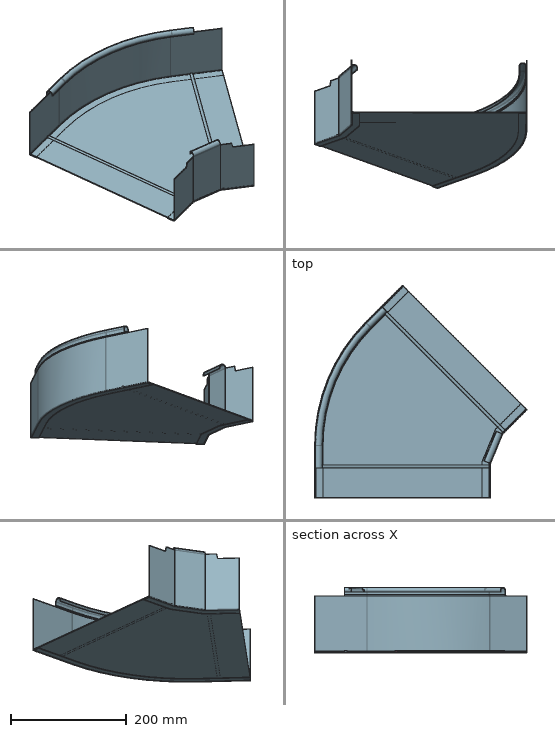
import cadquery as cq
import math


overall = 366.2
height = 113.0
bend_angle = 45.0
leg_length = 90.0
inner_leg_length = 59.0
sheet = 1.25
floor_sheet = 1.65
bend_radius = 0.9
flange_width = 14.5
wall_height = 98.0

rim_setback = 51.3
rim_offset = 1.0
joggle_top = 100.5
roll_width = 12.5
lip_length = 2.2

shoulder_setback = 37.5
shoulder_slope = 2.2

bead_width = 5.5
bead_height = 1.65

turn = math.radians(bend_angle)
arc_radius = (overall - leg_length) / math.sin(turn) - leg_length
tray_width = (overall - arc_radius) / math.cos(turn) + arc_radius - leg_length
bend_center = (arc_radius, leg_length)
roll_radius = roll_width / 2
spring_height = height - roll_radius
floor_gap = sheet + bend_radius
half_diagonal = math.sin(math.pi / 4)


def mirror_point(point):
    """Reflect a plan point across the bisector of the bend."""
    dx = point[0] - bend_center[0]
    dy = point[1] - bend_center[1]
    return (
        bend_center[0] + dx * math.cos(turn) - dy * math.sin(turn),
        bend_center[1] - dx * math.sin(turn) - dy * math.cos(turn),
    )


def mirror_solid(solid):
    """Reflect a solid across the bisector of the bend."""
    normal = (math.sin(turn / 2), math.cos(turn / 2), 0)
    return solid.mirror(normal, (*bend_center, 0))


def outer_curve(start, inset):
    """Plan line along the outer wall, from one end to the other."""
    arc_middle = (
        bend_center[0] - (arc_radius - inset) * math.cos(turn / 2),
        bend_center[1] + (arc_radius - inset) * math.sin(turn / 2),
    )
    arc_start = (inset, leg_length)
    return (
        cq.Workplane("XY")
        .moveTo(inset, start)
        .lineTo(*arc_start)
        .threePointArc(arc_middle, mirror_point(arc_start))
        .lineTo(*mirror_point((inset, start)))
    )


def inner_points(inset):
    """Plan points along the inner wall, from the front end to the far end."""
    x = tray_width - inset
    fold_y = inner_leg_length + inset * math.tan(turn / 4)
    front_points = [(x, 0), (x, fold_y)]
    return front_points + [mirror_point(p) for p in reversed(front_points)]


def wall_profile(plane, top):
    """Upright sheet with a bottom flange; local x points into the tray."""
    outside_radius = bend_radius + sheet
    outside_middle = outside_radius * (1 - half_diagonal)
    inside_middle = outside_radius - bend_radius * half_diagonal
    return (
        plane.moveTo(0, top)
        .lineTo(0, outside_radius)
        .threePointArc((outside_middle, outside_middle), (outside_radius, 0))
        .lineTo(flange_width, 0)
        .lineTo(flange_width, sheet)
        .lineTo(outside_radius, sheet)
        .threePointArc((inside_middle, inside_middle), (sheet, outside_radius))
        .lineTo(sheet, top)
        .close()
    )


def hook_profile(outline, outside):
    """Continue an outline up the outside, over the roll and back down the inside."""
    middle = outside + roll_radius
    far_side = outside + roll_width
    lip_end = spring_height - lip_length
    return (
        outline.lineTo(outside, spring_height)
        .threePointArc((middle, height), (far_side, spring_height))
        .lineTo(far_side, lip_end)
        .lineTo(far_side - sheet, lip_end)
        .lineTo(far_side - sheet, spring_height)
        .threePointArc((middle, height - sheet), (outside + sheet, spring_height))
    )


def make_outer_wall():
    """Curved wall with a joggled, rolled rim that stops short of both ends."""
    wall = wall_profile(cq.Workplane("XZ"), wall_height).sweep(outer_curve(0, 0))
    rim_start = cq.Workplane("XZ", origin=(0, rim_setback, 0))
    rim_outline = rim_start.moveTo(0, wall_height).lineTo(rim_offset, joggle_top)
    rim = (
        hook_profile(rim_outline, rim_offset)
        .lineTo(rim_offset + sheet, joggle_top)
        .lineTo(sheet, wall_height)
        .close()
        .sweep(outer_curve(rim_setback, 0))
    )
    return wall.union(rim)


def make_end_notch():
    """Cutter that lowers the inner wall at the front end."""
    return (
        cq.Workplane("YZ", origin=(tray_width - sheet, 0, 0))
        .moveTo(0, wall_height)
        .lineTo(shoulder_setback, wall_height)
        .lineTo(shoulder_setback + shoulder_slope, spring_height)
        .lineTo(0, spring_height)
        .close()
        .extrude(sheet)
    )


def make_inner_wall():
    """Wall folded twice, with a roll along its middle panel only."""
    points = inner_points(0)
    path = cq.Workplane("XY").polyline(points)
    start = cq.Workplane(cq.Plane((tray_width, 0, 0), xDir=(-1, 0, 0), normal=(0, 1, 0)))
    wall = wall_profile(start, spring_height).sweep(path, transition="right")
    notch = make_end_notch()
    wall = wall.cut(notch).cut(mirror_solid(notch))

    first_fold = cq.Vector(*points[1])
    panel = cq.Vector(*points[2]) - first_fold
    panel_plane = cq.Plane(first_fold, xDir=(-panel.y, panel.x, 0), normal=panel)
    roll = (
        hook_profile(cq.Workplane(panel_plane).moveTo(0, wall_height), 0)
        .lineTo(sheet, wall_height)
        .close()
        .extrude(panel.Length)
    )
    return wall.union(roll)


def make_bead():
    """Low rounded ridge across the floor at the front end."""
    floor_top = sheet + floor_sheet
    return (
        cq.Workplane("YZ", origin=(floor_gap, 0, 0))
        .moveTo(rim_setback, floor_top)
        .threePointArc(
            (rim_setback + bead_width / 2, floor_top + bead_height),
            (rim_setback + bead_width, floor_top),
        )
        .close()
        .extrude(tray_width - 2 * floor_gap)
    )


def make_floor():
    """Plate between the walls, lying on their flanges."""
    outline = outer_curve(0, floor_gap)
    for point in reversed(inner_points(floor_gap)):
        outline = outline.lineTo(*point)
    plate = outline.close().extrude(floor_sheet).translate((0, 0, sheet))
    bead = make_bead()
    return plate.union(bead).union(mirror_solid(bead))


outer_wall = make_outer_wall()
inner_wall = make_inner_wall()
tray_floor = make_floor()

result = cq.Compound.makeCompound([
    outer_wall.solids().val(),
    inner_wall.solids().val(),
    tray_floor.solids().val(),
])